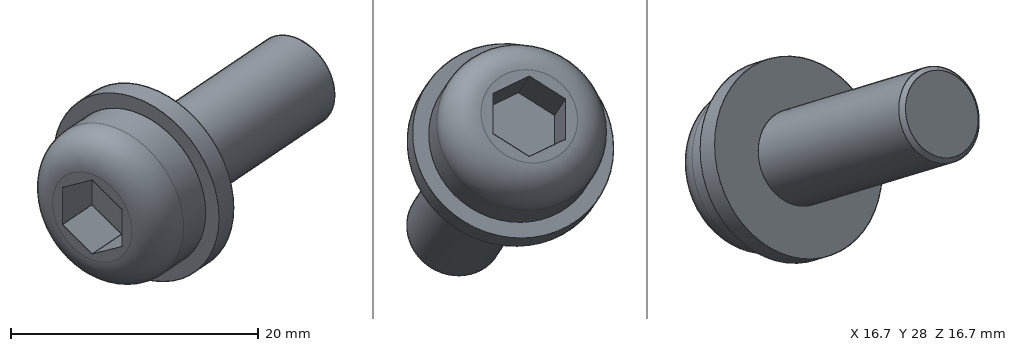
import cadquery as cq
import math

total_length = 28.0
head_height = 6.0
flange_thickness = 2.02
shank_length = total_length - head_height - flange_thickness

flange_diameter = 16.7
head_diameter = 14.0
shank_diameter = 8.0
head_rounding = (head_diameter - shank_diameter) / 2
tip_chamfer = 0.4

socket_across_flats = 6.0
socket_depth = 4.0


def cylinder(diameter, start, length):
    """Cylinder along +Y whose first face lies at Y = start."""
    plane = cq.Plane(origin=(0, start, 0), xDir=(1, 0, 0), normal=(0, 1, 0))
    return cq.Workplane(plane).circle(diameter / 2).extrude(length)


def hex_socket():
    """Hexagonal prism with two corners on the Z axis, sunk from the head face."""
    corner_radius = socket_across_flats / math.sqrt(3)
    corner_angles = [math.radians(90 + 60 * i) for i in range(6)]
    corners = [(corner_radius * math.cos(a), corner_radius * math.sin(a)) for a in corner_angles]
    plane = cq.Plane(origin=(0, head_face, 0), xDir=(1, 0, 0), normal=(0, 1, 0))
    return cq.Workplane(plane).polyline(corners).close().extrude(socket_depth)


head_face = -(head_height + flange_thickness)

head = cylinder(head_diameter, head_face, head_height).faces("<Y").edges().fillet(head_rounding)
flange = cylinder(flange_diameter, -flange_thickness, flange_thickness)
shank = cylinder(shank_diameter, 0, shank_length).faces(">Y").edges().chamfer(tip_chamfer)

result = head.union(flange).union(shank).cut(hex_socket())